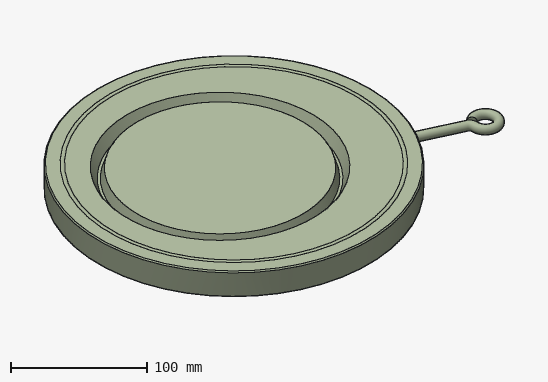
import cadquery as cq
import math

DISC_DIAMETER = 279.0
OVERALL_HEIGHT = 24.0
RIM_CHAMFER = 1.0

RING_TUBE_DIAMETER = 6.5
RING_MEAN_DIAMETER = 252.0
RING_PROTRUSION = 0.42
DISC_HEIGHT = OVERALL_HEIGHT - 2 * RING_PROTRUSION

RECESS_OFFSET_Y = -11.0
RECESS_MOUTH_DIAMETER = 190.5
RECESS_FLOOR_DIAMETER = 180.5
RECESS_DEPTH = 10.5

FLAP_FACE_DIAMETER = 170.0
FLAP_BASE_DIAMETER = 176.0
FLAP_DROP = 1.5

OVERALL_LENGTH = 351.0
ROD_DIAMETER = 8.0
EYE_MEAN_DIAMETER = 20.0
EYE_GAP_ANGLE = 44.0
ROD_EMBED = 7.0


def torus(mean_diameter, tube_diameter):
    """Ring about the Z axis, centred on the origin."""
    axis_x = -mean_diameter / 2
    return (
        cq.Workplane("XZ")
        .center(mean_diameter / 2, 0)
        .circle(tube_diameter / 2)
        .revolve(360, (axis_x, 0), (axis_x, 1))
    )


def recess_frustum(z_low, diameter_low, z_high, diameter_high):
    """Frustum standing on the recess axis."""
    return (
        cq.Workplane("XY", origin=(0, RECESS_OFFSET_Y, z_low))
        .circle(diameter_low / 2)
        .workplane(offset=z_high - z_low)
        .circle(diameter_high / 2)
        .loft(ruled=True)
    )


def disc():
    """Chamfered disc centred on the origin."""
    return (
        cq.Workplane("XY", origin=(0, 0, -DISC_HEIGHT / 2))
        .circle(DISC_DIAMETER / 2)
        .extrude(DISC_HEIGHT)
        .faces("|Z")
        .edges()
        .chamfer(RIM_CHAMFER)
    )


def lifting_eye():
    """Round bar along +Y, bent to the right and then curled counter-clockwise into an open ring."""
    eye_radius = EYE_MEAN_DIAMETER / 2
    eye_y = OVERALL_LENGTH - (DISC_DIAMETER + EYE_MEAN_DIAMETER + ROD_DIAMETER) / 2
    half_gap = math.radians(EYE_GAP_ANGLE / 2)
    ring_end_x = eye_radius * math.sin(half_gap)
    ring_end_y = eye_y - eye_radius * math.cos(half_gap)

    bend_radius = ring_end_x / (1 - math.sin(half_gap))
    bend_start_y = ring_end_y - bend_radius * math.cos(half_gap)
    bend_turn = math.pi / 2 - half_gap
    bend_middle = (
        bend_radius * (1 - math.cos(bend_turn / 2)),
        bend_start_y + bend_radius * math.sin(bend_turn / 2),
    )

    rod_start_y = DISC_DIAMETER / 2 - ROD_EMBED
    path = (
        cq.Workplane("XY")
        .moveTo(0, rod_start_y)
        .lineTo(0, bend_start_y)
        .threePointArc(bend_middle, (ring_end_x, ring_end_y))
        .threePointArc((0, eye_y + eye_radius), (-ring_end_x, ring_end_y))
    )
    return cq.Workplane("XZ", origin=(0, rod_start_y, 0)).circle(ROD_DIAMETER / 2).sweep(path)


disc_top = DISC_HEIGHT / 2
recess_floor = disc_top - RECESS_DEPTH
recess = recess_frustum(recess_floor, RECESS_FLOOR_DIAMETER, disc_top, RECESS_MOUTH_DIAMETER)
flap = recess_frustum(recess_floor, FLAP_BASE_DIAMETER, disc_top - FLAP_DROP, FLAP_FACE_DIAMETER)
result = disc().cut(recess).union(flap)

ring_z = (OVERALL_HEIGHT - RING_TUBE_DIAMETER) / 2
for z in (ring_z, -ring_z):
    seal = torus(RING_MEAN_DIAMETER, RING_TUBE_DIAMETER)
    result = result.union(seal.translate((0, 0, z)))

result = result.union(lifting_eye())